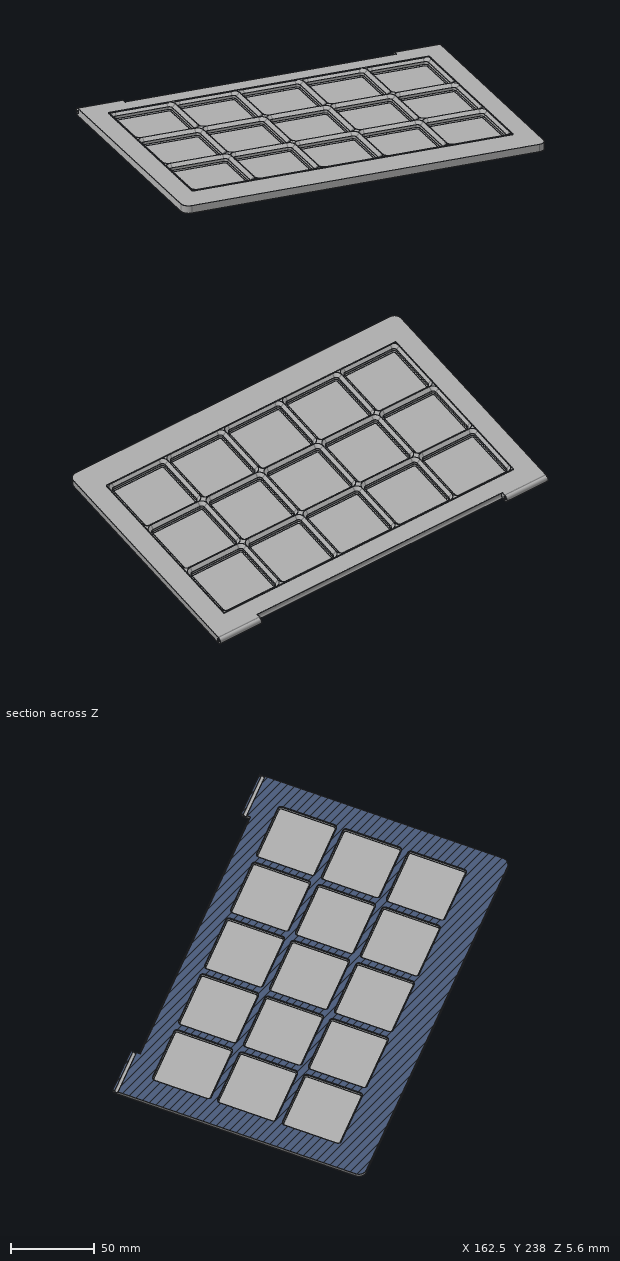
import cadquery as cq

length_x = 162.5
length_y = 238.0
plate_thickness = 5.0
corner_radius = 5.0

knuckle_radius = plate_thickness / 2
knuckle_length = 30.0
gap_clearance = 1.0
gap_radius = knuckle_radius + gap_clearance
pin_hole_diameter = 2.0

columns = 3
rows = 5
cell_corner_radius = 4.0
grid_length_y = 210.2
cell_pitch = grid_length_y / rows
grid_length_x = columns * cell_pitch
grid_right_margin = 19.5
grid_left_margin = length_x - grid_right_margin - grid_length_x
grid_front_margin = (length_y - grid_length_y) / 2

floor_thickness = 1.0
lower_chamfer = 0.7
straight_wall = 1.8
upper_chamfer = 2.1
total_height = floor_thickness + lower_chamfer + straight_wall + upper_chamfer


def rod_along_y(radius, start_y, length):
    """Cylinder around the hinge axis, which runs along Y at the -X edge."""
    return (
        cq.Workplane("XZ", origin=(knuckle_radius, start_y, knuckle_radius))
        .circle(radius)
        .extrude(-length)
    )


def make_plate():
    """Flat plate with a half-round -X edge and rounded corners on the +X side."""
    flat_length = length_x - knuckle_radius
    flat = (
        cq.Workplane("XY", origin=(knuckle_radius, 0, 0))
        .box(flat_length, length_y, plate_thickness, centered=False)
        .edges("|Z and >X")
        .fillet(corner_radius)
    )
    return flat.union(rod_along_y(knuckle_radius, 0, length_y))


def make_hinge_gap():
    """Space between the knuckles, hollowed concentrically with the hinge axis."""
    gap_length = length_y - 2 * knuckle_length
    return rod_along_y(gap_radius, knuckle_length, gap_length)


def make_grid_block():
    """Raised block that the cells are sunk into."""
    return cq.Workplane("XY", origin=(grid_left_margin, grid_front_margin, 0)).box(
        grid_length_x, grid_length_y, total_height, centered=False
    )


def rounded_square(z, inset):
    """Cell outline at height z, drawn in by inset on every side."""
    side = cell_pitch - 2 * inset
    outline = cq.Sketch().rect(side, side).vertices().fillet(cell_corner_radius - inset)
    return cq.Workplane("XY", origin=(0, 0, z)).placeSketch(outline)


def make_cell():
    """Pocket with a chamfer, a straight wall and a wider chamfer, centred on the Z axis."""
    floor_inset = upper_chamfer + lower_chamfer
    wall_bottom = floor_thickness + lower_chamfer
    wall_top = wall_bottom + straight_wall
    foot = rounded_square(floor_thickness, floor_inset).extrude(lower_chamfer, taper=-45)
    wall = rounded_square(wall_bottom, upper_chamfer).extrude(straight_wall)
    rim = rounded_square(wall_top, upper_chamfer).extrude(upper_chamfer, taper=-45)
    return foot.union(wall).union(rim)


result = make_plate().cut(make_hinge_gap()).union(make_grid_block())
result = result.cut(rod_along_y(pin_hole_diameter / 2, 0, length_y))

cell = make_cell()
for column in range(columns):
    for row in range(rows):
        center_x = grid_left_margin + (column + 0.5) * cell_pitch
        center_y = grid_front_margin + (row + 0.5) * cell_pitch
        result = result.cut(cell.translate((center_x, center_y, 0)))